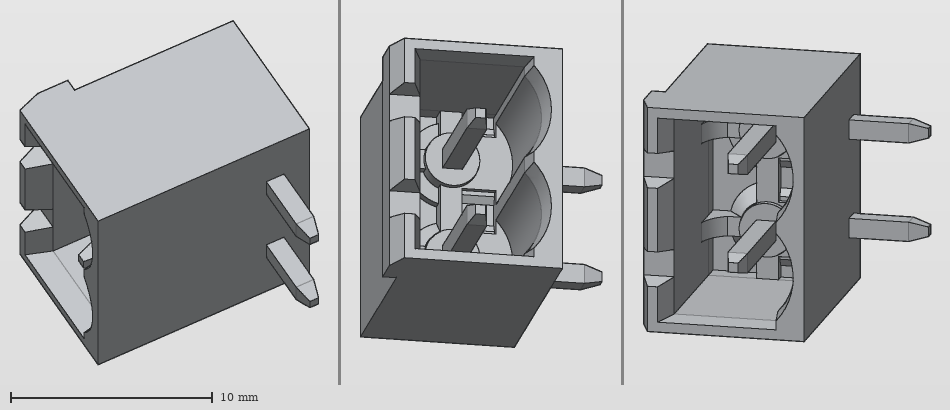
import cadquery as cq
import math


pitch = 5.08
pole_count = 2
end_margin = 3.24
body_width = 8.5
body_depth = 12.0
body_height = (pole_count - 1) * pitch + 2 * end_margin
side_step = 0.7
lip_depth = 3.0
lead_depth = 1.3
lip_chamfer = 0.5

cavity_left = 1.56
cavity_right = 6.85
cavity_wall = 0.62
floor_y = 8.5
lead_in_left = 0.53
lead_in_right = 0.21
lead_in_end = 0.1
wall_draft = 0.02

flute_radius = 3.1
flute_mouth_radius = 3.34

notch_mouth_width = 1.8
notch_floor_width = 1.4

pin_x = 4.6
pin_width = 1.0
pin_tip_width = 0.5
pin_taper = 0.95
pin_tip_y = 1.2
tail_y = 10.05
tail_length = 4.0

trench_right = 4.04
trench_depth = 1.0
collar_radius = 2.18
step_height = 0.5
rib_curve_radius = 2.0
rib_curve_angle = 60
boss_radius = 1.42
boss_top_radius = 1.38
boss_height = 0.3
slot_left = 5.15
slot_width = 2.28
slot_ledge = 0.22
slot_slope_width = 0.38
slot_ledge_depth = 0.3
slot_slope_depth = 0.22

pole_heights = [end_margin + i * pitch for i in range(pole_count)]
slot_heights = [end_margin + (i - 0.5) * pitch for i in range(pole_count + 1)]
trench_floor_y = floor_y + trench_depth
floor_left = cavity_left + wall_draft
floor_bottom = cavity_wall + wall_draft
floor_top = body_height - floor_bottom


def block(x_range, y_range, z_range):
    """Box between the given limits."""
    sizes = [limits[1] - limits[0] for limits in (x_range, y_range, z_range)]
    corner = (x_range[0], y_range[0], z_range[0])
    return cq.Workplane("XY").box(*sizes, centered=False).translate(corner)


def cone(y_start, radius_start, y_end, radius_end, z):
    """Round frustum about a pin axis, running along +Y."""
    return (
        cq.Workplane("XZ", origin=(pin_x, y_start, z))
        .circle(radius_start)
        .workplane(offset=y_start - y_end)
        .circle(radius_end)
        .loft(ruled=True)
    )


def make_housing():
    """Outer block with the chamfered locking lip."""
    outline = [
        (lip_chamfer, 0),
        (body_width, 0),
        (body_width, body_depth),
        (side_step, body_depth),
        (side_step, lip_depth),
        (0, lip_depth),
        (0, lead_depth),
    ]
    return cq.Workplane("XY").polyline(outline).close().extrude(body_height)


def make_cavity():
    """Rectangular pocket with a tapered mouth and a flute beside each pin."""
    width = cavity_right - cavity_left
    height = body_height - 2 * cavity_wall
    mouth_width = width + lead_in_left + lead_in_right
    mouth_height = height + 2 * lead_in_end
    center_x = (cavity_left + cavity_right) / 2
    mouth_shift = (lead_in_right - lead_in_left) / 2
    mouth = (
        cq.Workplane("XZ", origin=(center_x + mouth_shift, 0, body_height / 2))
        .rect(mouth_width, mouth_height)
        .workplane(offset=-lead_depth)
        .center(-mouth_shift, 0)
        .rect(width, height)
        .loft(ruled=True)
    )
    pocket = (
        cq.Workplane("XZ", origin=(center_x, lead_depth, body_height / 2))
        .rect(width, height)
        .workplane(offset=lead_depth - floor_y)
        .center(wall_draft / 2, 0)
        .rect(width - wall_draft, height - 2 * wall_draft)
        .loft(ruled=True)
    )
    cavity = mouth.union(pocket)
    flute_zone = block((cavity_right, body_width), (0, floor_y), (0, body_height))
    for z in pole_heights:
        flute = cone(0, flute_mouth_radius, lead_depth, flute_radius, z)
        flute = flute.union(cone(lead_depth, flute_radius, floor_y, flute_radius, z))
        cavity = cavity.union(flute.intersect(flute_zone))
    return cavity


def make_notch(z):
    """Tapered notch across the lip beside a pin."""
    outline = [
        (0, z - notch_mouth_width / 2),
        (lead_depth, z - notch_floor_width / 2),
        (lead_depth, z + notch_floor_width / 2),
        (0, z + notch_mouth_width / 2),
    ]
    return cq.Workplane("YZ").polyline(outline).close().extrude(cavity_left)


def make_rib(z):
    """Floor rib with a concave curve that leaves the -X wall tangentially."""
    angle = math.radians(rib_curve_angle)
    curve_run = rib_curve_radius * (1 - math.cos(angle))
    curve_rise = rib_curve_radius * math.sin(angle)
    return (
        cq.Workplane("XY", origin=(0, 0, z - pin_width / 2))
        .moveTo(cavity_left, trench_floor_y)
        .lineTo(cavity_left, floor_y - curve_rise)
        .radiusArc((cavity_left + curve_run, floor_y), rib_curve_radius)
        .lineTo(pin_x, floor_y)
        .lineTo(pin_x, trench_floor_y)
        .close()
        .extrude(pin_width)
    )


def make_trench():
    """Lowered floor along the -X wall, around a conical lower and a stepped upper collar."""
    trench = block(
        (floor_left, trench_right),
        (floor_y, trench_floor_y),
        (floor_bottom, floor_top),
    )
    step_y = trench_floor_y - step_height
    lower_z, upper_z = pole_heights
    trench = trench.cut(cone(floor_y, boss_radius, trench_floor_y, collar_radius, lower_z))
    trench = trench.cut(cone(step_y, collar_radius, trench_floor_y, collar_radius, upper_z))
    return trench


def make_boss(z):
    """Slightly tapered round boss around a pin, rooted in the trench floor."""
    return cone(floor_y - boss_height, boss_top_radius, trench_floor_y, boss_radius, z)


def make_slot(z):
    """Floor slot with a narrow ledge and sloping flanks, kept within the end walls."""
    half_ledge = slot_width / 2
    half_slope = half_ledge - slot_ledge
    half_floor = half_slope - slot_slope_width
    ledge_y = floor_y + slot_ledge_depth
    bottom_y = ledge_y + slot_slope_depth
    outline = [
        (floor_y, z - half_ledge),
        (ledge_y, z - half_ledge),
        (ledge_y, z - half_slope),
        (bottom_y, z - half_floor),
        (bottom_y, z + half_floor),
        (ledge_y, z + half_slope),
        (ledge_y, z + half_ledge),
        (floor_y, z + half_ledge),
    ]
    slot = (
        cq.Workplane("YZ", origin=(slot_left, 0, 0))
        .polyline(outline)
        .close()
        .extrude(cavity_right - slot_left)
    )
    limits = block(
        (slot_left, cavity_right),
        (floor_y, bottom_y),
        (floor_bottom, floor_top),
    )
    return slot.intersect(limits)


def make_leg(length):
    """Square leg along +Z with a pyramid-shaped tip at its far end."""
    shank = cq.Workplane("XY").rect(pin_width, pin_width).extrude(length - pin_taper)
    tip = (
        cq.Workplane("XY", origin=(0, 0, length - pin_taper))
        .rect(pin_width, pin_width)
        .workplane(offset=pin_taper)
        .rect(pin_tip_width, pin_tip_width)
        .loft(ruled=True)
    )
    return shank.union(tip)


def make_pin(z):
    """Right-angle pin: contact leg toward -Y, solder tail toward +X."""
    corner = (pin_x, tail_y, z)
    contact = make_leg(tail_y - pin_tip_y).rotate((0, 0, 0), (1, 0, 0), 90)
    tail = make_leg(body_width + tail_length - pin_x).rotate((0, 0, 0), (0, 1, 0), 90)
    return contact.union(tail).translate(corner)


result = make_housing().cut(make_cavity()).cut(make_trench())

for slot_z in slot_heights:
    result = result.cut(make_slot(slot_z))

for pole_z in pole_heights:
    result = result.cut(make_notch(pole_z))
    result = result.union(make_rib(pole_z))
    result = result.union(make_boss(pole_z))
    result = result.union(make_pin(pole_z))